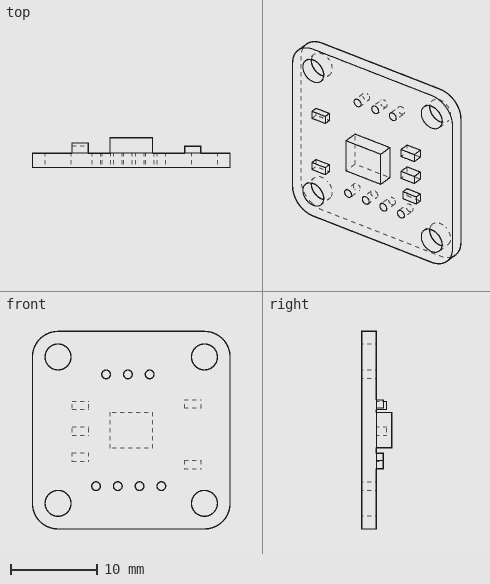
import cadquery as cq

board_side = 23.0
board_thickness = 1.7
corner_radius = 3.0
overall_depth = 3.5
back_face_y = board_thickness - overall_depth / 2
front_face_y = back_face_y - board_thickness

mount_diameter = 3.0
mount_spacing = board_side - 2 * corner_radius

pin_diameter = 1.0
pin_pitch = 2.53
upper_pin_count = 3
upper_row_center = (-0.4, 6.49)
lower_pin_count = 4
lower_row_center = (-0.3, -6.5)

chip_width = 5.0
chip_height = 4.15
chip_depth = overall_depth - board_thickness

component_width = 1.9
component_height = 0.97
tall_depth = 1.2
low_depth = 0.8
left_column_x = -5.93
right_column_x = 7.15
components = [
    (left_column_x, 2.88, tall_depth),
    (left_column_x, -0.14, tall_depth),
    (left_column_x, -3.15, low_depth),
    (right_column_x, 3.04, low_depth),
    (right_column_x, -4.02, low_depth),
]


def block(width, depth, height, x=0.0, z=0.0, start_y=back_face_y):
    """Box centred at X and Z that extends toward +Y from start_y."""
    box = cq.Workplane("XY").box(width, depth, height, centered=(True, False, True))
    return box.translate((x, start_y, z))


def drill_pin_row(body, center, count):
    """Cut a horizontal row of pin holes through the board."""
    return (
        body.faces("<Y")
        .workplane(origin=(center[0], front_face_y, center[1]))
        .rarray(pin_pitch, 0.23, count, 1)
        .hole(pin_diameter, board_thickness)
    )


board = block(board_side, board_thickness, board_side, start_y=front_face_y)
board = board.edges("|Y").fillet(corner_radius)
board = (
    board.faces("<Y")
    .workplane(origin=(0, front_face_y, 0))
    .rarray(mount_spacing, mount_spacing, 2, 2)
    .hole(mount_diameter, board_thickness)
)
board = drill_pin_row(board, upper_row_center, upper_pin_count)
board = drill_pin_row(board, lower_row_center, lower_pin_count)

result = board.union(block(chip_width, chip_depth, chip_height))
for x, z, depth in components:
    result = result.union(block(component_width, depth, component_height, x, z))